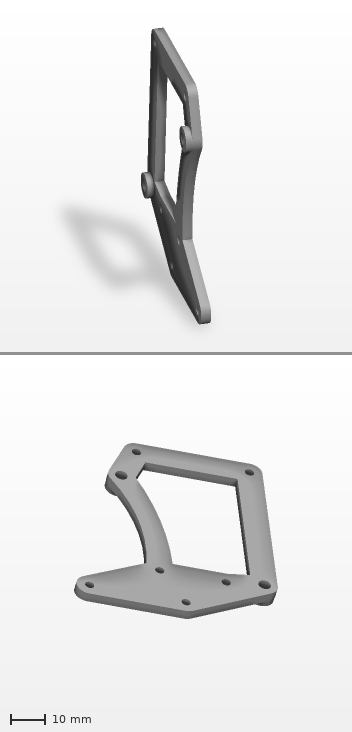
import cadquery as cq
import math

PLATE_THICKNESS = 3.0
BOSS_HEIGHT = 1.95

BOSS_DIAMETER = 7.7
BOSS_BORE = 3.75
SCREW_HOLE = 2.75
MARGIN = 4.0

WIDTH = 60.5
HEIGHT = 72.1

TOP_Z = HEIGHT - MARGIN
MIDDLE_Z = 16.3
TOP_LEFT = (8.5, TOP_Z)
TOP_RIGHT = (42.5, TOP_Z)
MIDDLE_LEFT = (15.5, MIDDLE_Z)
MIDDLE_RIGHT = (35.5, MIDDLE_Z)
FOOT_LEFT = (27.55, MARGIN)
FOOT_RIGHT = (WIDTH - MARGIN, MARGIN)
BOSS_LEFT = (MARGIN, 18.3)
BOSS_RIGHT = (47.0, 56.4)

LEFT_EDGE_LOWER_ANGLE = 167.0
LEFT_EDGE_UPPER_ANGLE = 184.0

ARM_OUTER_X = 39.5
ARM_MIDDLE_Z = 36.5
ARM_OUTER_MIDDLE = (41.6, ARM_MIDDLE_Z)
ARM_LEAVE_ANGLE = -36.0

WINDOW_TOP = TOP_Z - MARGIN
WINDOW_BOTTOM = MIDDLE_Z + MARGIN
WINDOW_TOP_LEFT = (12.1, WINDOW_TOP)
WINDOW_TOP_RIGHT = (39.8, WINDOW_TOP)
WINDOW_RIGHT_TIP = (42.7, 56.6)
ARM_INNER_MIDDLE = (34.55, ARM_MIDDLE_Z)
WINDOW_BOTTOM_RIGHT = (31.6, WINDOW_BOTTOM)
WINDOW_BOTTOM_LEFT = (15.2, WINDOW_BOTTOM)
WINDOW_LEFT_TIP = (8.3, 21.6)


def on_corner(center, angle):
    """Point on the rounded corner about a centre, at an angle in degrees."""
    turn = math.radians(angle)
    return (center[0] + MARGIN * math.cos(turn), center[1] + MARGIN * math.sin(turn))


def edge_normal(start, end):
    """Outward direction, in degrees, of a clockwise edge between two centres."""
    return math.degrees(math.atan2(end[1] - start[1], end[0] - start[0])) + 90


def round_corner(outline, center, angle_in, angle_out):
    """Run the outline straight to a corner, then clockwise around it."""
    sweep = (angle_in - angle_out) % 360
    middle = on_corner(center, angle_in - sweep / 2)
    outline = outline.lineTo(*on_corner(center, angle_in))
    return outline.threePointArc(middle, on_corner(center, angle_out))


def plate():
    top = edge_normal(TOP_LEFT, TOP_RIGHT)
    right = edge_normal(TOP_RIGHT, BOSS_RIGHT)
    foot_top = edge_normal(MIDDLE_RIGHT, FOOT_RIGHT)
    bottom = edge_normal(FOOT_RIGHT, FOOT_LEFT)
    foot_left = edge_normal(FOOT_LEFT, BOSS_LEFT)

    slope_start = on_corner(MIDDLE_RIGHT, foot_top)
    slope = math.tan(math.radians(foot_top - 90))
    arm_end = (ARM_OUTER_X, slope_start[1] + slope * (ARM_OUTER_X - slope_start[0]))

    left_start = on_corner(BOSS_LEFT, LEFT_EDGE_LOWER_ANGLE)
    outline = cq.Workplane("XZ").moveTo(*left_start)
    outline = round_corner(outline, TOP_LEFT, LEFT_EDGE_UPPER_ANGLE, top)
    outline = round_corner(outline, TOP_RIGHT, top, right)
    outline = round_corner(outline, BOSS_RIGHT, right, ARM_LEAVE_ANGLE)
    outline = outline.threePointArc(ARM_OUTER_MIDDLE, arm_end)
    outline = round_corner(outline, FOOT_RIGHT, foot_top, bottom)
    outline = round_corner(outline, FOOT_LEFT, bottom, foot_left)
    outline = outline.lineTo(*on_corner(BOSS_LEFT, foot_left))
    middle = on_corner(BOSS_LEFT, (foot_left % 360 + LEFT_EDGE_LOWER_ANGLE) / 2)
    outline = outline.threePointArc(middle, left_start).close()
    return outline.extrude(-PLATE_THICKNESS)


def window():
    return (
        cq.Workplane("XZ")
        .moveTo(*WINDOW_TOP_LEFT)
        .lineTo(*WINDOW_TOP_RIGHT)
        .lineTo(*WINDOW_RIGHT_TIP)
        .threePointArc(ARM_INNER_MIDDLE, WINDOW_BOTTOM_RIGHT)
        .lineTo(*WINDOW_BOTTOM_LEFT)
        .lineTo(*WINDOW_LEFT_TIP)
        .close()
        .extrude(-PLATE_THICKNESS)
    )


def cylinders(centers, diameter, front, back):
    """Round solids along Y, from the front to the back position."""
    base = cq.Workplane("XZ", origin=(0, front, 0))
    return base.pushPoints(centers).circle(diameter / 2).extrude(front - back)


bosses = [BOSS_LEFT, BOSS_RIGHT]
screws = [TOP_LEFT, TOP_RIGHT, MIDDLE_LEFT, MIDDLE_RIGHT, FOOT_LEFT, FOOT_RIGHT]

result = plate().cut(window())
result = result.union(cylinders(bosses, BOSS_DIAMETER, -BOSS_HEIGHT, 0))
result = result.cut(cylinders(bosses, BOSS_BORE, -BOSS_HEIGHT, PLATE_THICKNESS))
result = result.cut(cylinders(screws, SCREW_HOLE, 0, PLATE_THICKNESS))